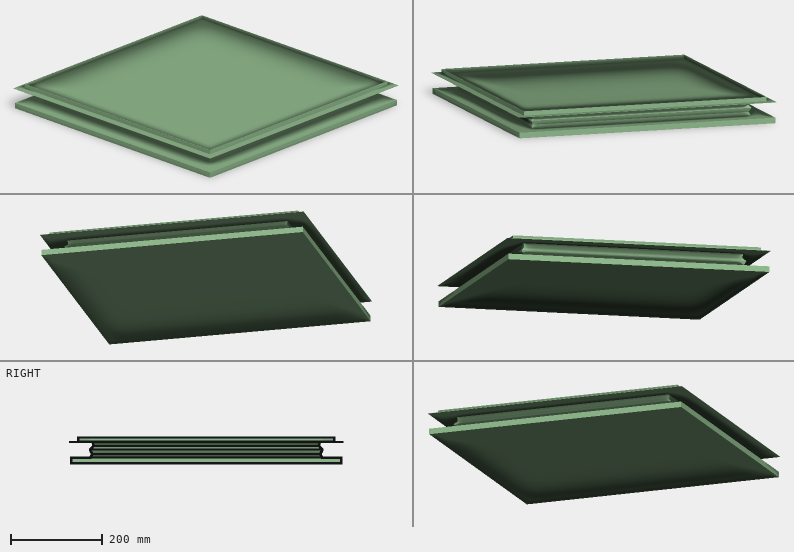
import cadquery as cq

flange_width = 595.5
base_width = 591.0
base_height = 12.5
flange_thickness = 0.5
total_height = 56.5

tray_width = 561.0
tray_height = 9.5
tray_wall = 1.0
tray_floor = 1.0

neck_top_width = 496.5
neck_width = 494.0
neck_bottom = 37.5
ridge_width = 508.5
ridge_level = 30.0
groove_width = 499.0
groove_level = 20.0
foot_width = 506.0

flange_top = total_height - tray_height
flange_bottom = flange_top - flange_thickness
floor_level = flange_top + tray_floor


def square_block(width, bottom, top):
    """Square plate centred on the Z axis."""
    return cq.Workplane("XY").workplane(offset=bottom).rect(width, width).extrude(top - bottom)


def square_taper(lower_width, bottom, upper_width, top):
    """Square frustum centred on the Z axis."""
    return (
        cq.Workplane("XY")
        .workplane(offset=bottom)
        .rect(lower_width, lower_width)
        .workplane(offset=top - bottom)
        .rect(upper_width, upper_width)
        .loft(ruled=True)
    )


def bellows():
    """Grooved square column that carries the flange."""
    foot = square_taper(foot_width, base_height, groove_width, groove_level)
    lower_ridge = square_taper(groove_width, groove_level, ridge_width, ridge_level)
    upper_ridge = square_taper(ridge_width, ridge_level, neck_width, neck_bottom)
    neck = square_taper(neck_width, neck_bottom, neck_top_width, flange_bottom)
    return foot.union(lower_ridge).union(upper_ridge).union(neck)


def tray():
    """Thin flange with an upright rim."""
    inner_width = tray_width - 2 * tray_wall
    flange = square_block(flange_width, flange_bottom, flange_top)
    rim = square_block(tray_width, flange_top, total_height).cut(
        square_block(inner_width, floor_level, total_height)
    )
    return flange.union(rim)


base = square_block(base_width, 0, base_height)

result = base.union(bellows()).union(tray())